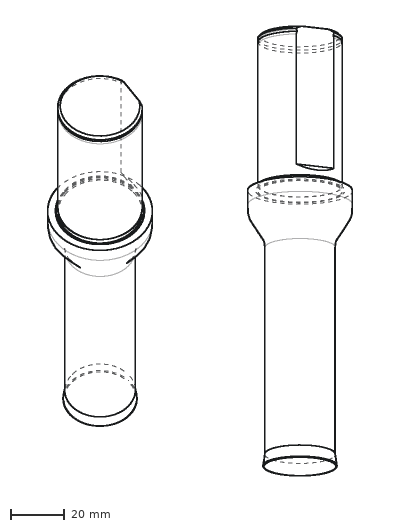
import cadquery as cq
import math

TOTAL_HEIGHT = 168.0
TIP_CONE_HEIGHT = 0.5
TIP_TOP_Z = 5.4
NECK_TOP_Z = 85.8
COLLAR_BOTTOM_Z = 102.5
COLLAR_TOP_Z = 108.0

BODY_RADIUS = 26.5 / 2
COLLAR_RADIUS = 39.5 / 2
SHANK_RADIUS = 32.0 / 2
GROOVE_RADIUS = 31.5 / 2

CONVEX_SHARE = 0.66

RELIEF_HEIGHT = 1.8
RECESS_RADIUS = 16.8
RECESS_DEPTH = 0.3
TOP_CHAMFER = 1.0
TOP_GROOVE_LOWER_Z = 164.8
TOP_GROOVE_BOTTOM_Z = 165.8
TOP_GROOVE_UPPER_Z = 166.7
FLAT_OFFSET = 14.0
FLAT_BOTTOM_Z = 112.0

TIP_RADIUS = 14.0
TIP_CHAMFER = 0.3


def flare_geometry():
    """Return the points that guide the S-curve, bottom to top."""
    drop = COLLAR_BOTTOM_Z - NECK_TOP_Z
    step = COLLAR_RADIUS - BODY_RADIUS
    radius_sum = (drop**2 + step**2) / (2 * step)
    convex_radius = radius_sum * CONVEX_SHARE
    concave_radius = radius_sum - convex_radius
    sweep = math.asin(drop / radius_sum)
    half = sweep / 2
    concave_mid = (
        BODY_RADIUS + concave_radius * (1 - math.cos(half)),
        NECK_TOP_Z + concave_radius * math.sin(half),
    )
    junction = (
        BODY_RADIUS + concave_radius * (1 - math.cos(sweep)),
        NECK_TOP_Z + concave_radius * math.sin(sweep),
    )
    convex_mid = (
        COLLAR_RADIUS - convex_radius * (1 - math.cos(half)),
        COLLAR_BOTTOM_Z - convex_radius * math.sin(half),
    )
    return concave_mid, junction, convex_mid


def shank_flat_cutter():
    """Block that removes the +Y side of the shank above the flat's lower end."""
    depth = SHANK_RADIUS - FLAT_OFFSET
    return (
        cq.Workplane("YZ")
        .moveTo(FLAT_OFFSET, FLAT_BOTTOM_Z + depth)
        .lineTo(SHANK_RADIUS, FLAT_BOTTOM_Z)
        .lineTo(COLLAR_RADIUS, FLAT_BOTTOM_Z)
        .lineTo(COLLAR_RADIUS, TOTAL_HEIGHT)
        .lineTo(FLAT_OFFSET, TOTAL_HEIGHT)
        .close()
        .extrude(SHANK_RADIUS, both=True)
    )


def make_holder():
    """Turned holder: body, flared collar and shank with a clamping flat."""
    concave_mid, junction, convex_mid = flare_geometry()
    relief_top_z = COLLAR_TOP_Z + RELIEF_HEIGHT
    recess_z = COLLAR_TOP_Z - RECESS_DEPTH
    relief_step = SHANK_RADIUS - GROOVE_RADIUS
    profile = (
        cq.Workplane("XZ")
        .moveTo(0, TIP_TOP_Z)
        .lineTo(BODY_RADIUS, TIP_TOP_Z)
        .lineTo(BODY_RADIUS, NECK_TOP_Z)
        .spline(
            [concave_mid, junction, convex_mid, (COLLAR_RADIUS, COLLAR_BOTTOM_Z)],
            tangents=[(0, 1), (0, 1)],
            includeCurrent=True,
        )
        .lineTo(COLLAR_RADIUS, COLLAR_TOP_Z)
        .lineTo(RECESS_RADIUS, COLLAR_TOP_Z)
        .lineTo(RECESS_RADIUS - RECESS_DEPTH, recess_z)
        .lineTo(GROOVE_RADIUS, recess_z)
        .lineTo(GROOVE_RADIUS, relief_top_z - relief_step)
        .lineTo(SHANK_RADIUS, relief_top_z)
        .lineTo(SHANK_RADIUS, TOP_GROOVE_LOWER_Z)
        .lineTo(GROOVE_RADIUS, TOP_GROOVE_BOTTOM_Z)
        .lineTo(SHANK_RADIUS, TOP_GROOVE_UPPER_Z)
        .lineTo(SHANK_RADIUS, TOTAL_HEIGHT - TOP_CHAMFER)
        .lineTo(SHANK_RADIUS - TOP_CHAMFER, TOTAL_HEIGHT)
        .lineTo(0, TOTAL_HEIGHT)
        .close()
    )
    return profile.revolve(360, (0, 0), (0, 1)).cut(shank_flat_cutter())


def make_tip():
    """Tip widening downwards from the holder and ending in a shallow cone."""
    profile = (
        cq.Workplane("XZ")
        .lineTo(TIP_RADIUS - TIP_CHAMFER, TIP_CONE_HEIGHT)
        .lineTo(TIP_RADIUS, TIP_CONE_HEIGHT + TIP_CHAMFER)
        .lineTo(BODY_RADIUS, TIP_TOP_Z)
        .lineTo(0, TIP_TOP_Z)
        .close()
    )
    return profile.revolve(360, (0, 0), (0, 1))


holder = make_holder()
tip = make_tip()

result = cq.Compound.makeCompound([holder.val(), tip.val()])